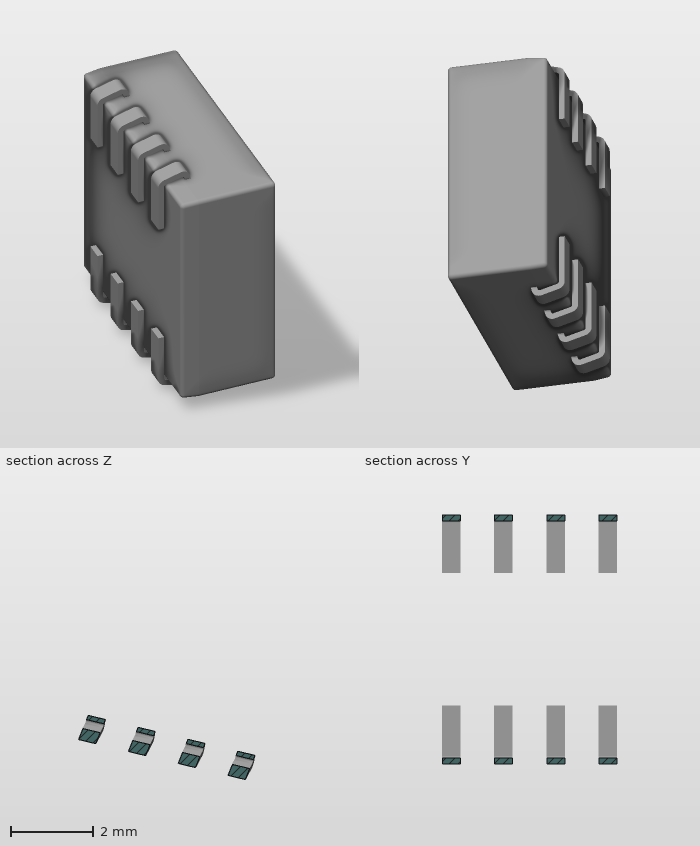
import cadquery as cq
import math

body_width = 6.25
body_depth = 2.5
body_height = 5.8
standoff = 0.2
nose_depth = 0.45
nose_draft = 5.0
edge_radius = 0.1

lead_count = 4
lead_pitch = 1.27
lead_width = 0.45
lead_thickness = 0.15
lead_span = 6.31
lead_foot_end = 1.61
bend_inner_radius = 0.05
arm_slope = math.radians(15.0)
arm_length = 0.45
leg_length = 0.25

mark_height = 0.01
mark_diameter = 0.53
mark_levels = (2.24, -2.33)

bend_outer_radius = bend_inner_radius + lead_thickness
body_back = standoff + body_depth
nose_back = standoff + nose_depth


def make_body():
    """Rounded block whose front end tapers inward on all four sides.

    It is the overlap of a straight rounded block and a rounded wedge;
    the sides of the two cross at nose_back.
    """
    block = (
        cq.Workplane("XZ")
        .rect(body_width, body_height)
        .extrude(-body_back)
        .edges("|Y or >Y")
        .fillet(edge_radius)
    )

    wedge_flare = 2 * (body_back - nose_back) * math.tan(math.radians(nose_draft))
    wedge = (
        cq.Workplane("XZ", origin=(0, body_back, 0))
        .rect(body_width + wedge_flare, body_height + wedge_flare)
        .extrude(body_depth, taper=nose_draft)
        .edges("not >Y")
        .fillet(edge_radius)
    )
    return block.intersect(wedge)


def make_upper_lead(x):
    """Foot on the mounting plane, sloped arm and a leg entering the body top."""
    along_arm = (math.cos(arm_slope), math.sin(arm_slope))
    above_arm = (-along_arm[1], along_arm[0])

    heel_center_y = bend_outer_radius
    knee_center_z = lead_span / 2 - bend_outer_radius
    knee_center_y = heel_center_y + arm_length * along_arm[0]
    heel_center_z = knee_center_z - arm_length * along_arm[1]

    def heel(radius, angle):
        return heel_center_y + radius * math.cos(angle), heel_center_z + radius * math.sin(angle)

    def knee(radius, angle):
        return knee_center_y + radius * math.cos(angle), knee_center_z + radius * math.sin(angle)

    def leg_end(radius):
        y, z = knee(radius, arm_slope)
        return y - leg_length * above_arm[0], z - leg_length * above_arm[1]

    foot_angle = math.pi
    arm_angle = math.pi / 2 + arm_slope
    heel_middle = (foot_angle + arm_angle) / 2
    knee_middle = (arm_angle + arm_slope) / 2

    return (
        cq.Workplane("YZ", origin=(x - lead_width / 2, 0, 0))
        .moveTo(0, lead_foot_end)
        .lineTo(*heel(bend_outer_radius, foot_angle))
        .threePointArc(heel(bend_outer_radius, heel_middle), heel(bend_outer_radius, arm_angle))
        .lineTo(*knee(bend_outer_radius, arm_angle))
        .threePointArc(knee(bend_outer_radius, knee_middle), knee(bend_outer_radius, arm_slope))
        .lineTo(*leg_end(bend_outer_radius))
        .lineTo(*leg_end(bend_inner_radius))
        .lineTo(*knee(bend_inner_radius, arm_slope))
        .threePointArc(knee(bend_inner_radius, knee_middle), knee(bend_inner_radius, arm_angle))
        .lineTo(*heel(bend_inner_radius, arm_angle))
        .threePointArc(heel(bend_inner_radius, heel_middle), heel(bend_inner_radius, foot_angle))
        .lineTo(lead_thickness, lead_foot_end)
        .close()
        .extrude(lead_width)
    )


def make_mark(z):
    """Low round disc standing on the back face."""
    return cq.Workplane("XZ", origin=(0, body_back, z)).circle(mark_diameter / 2).extrude(-mark_height)


result = make_body()
for index in range(lead_count):
    lead_x = (index - (lead_count - 1) / 2) * lead_pitch
    upper_lead = make_upper_lead(lead_x)
    result = result.union(upper_lead).union(upper_lead.mirror("XY"))
for mark_z in mark_levels:
    result = result.union(make_mark(mark_z))